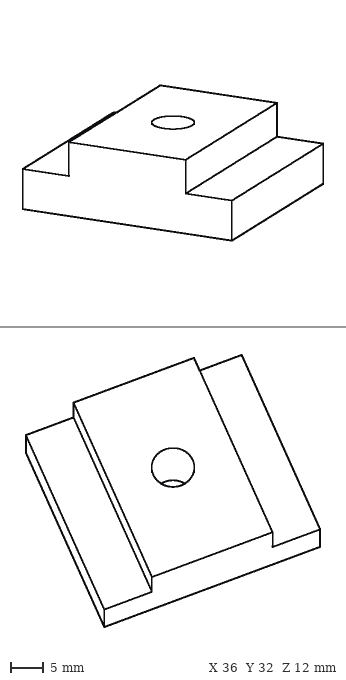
import cadquery as cq

base_width = 36.0
length = 32.0
total_height = 12.0
base_height = 6.5
rib_width = 20.1
hole_diameter = 6.6

rib_height = total_height - base_height

base = cq.Workplane("XY").box(base_width, length, base_height, centered=(True, True, False))

rib = (
    cq.Workplane("XY")
    .workplane(offset=base_height)
    .box(rib_width, length, rib_height, centered=(True, True, False))
)

hole = cq.Workplane("XY").circle(hole_diameter / 2).extrude(total_height)

result = base.union(rib).cut(hole)